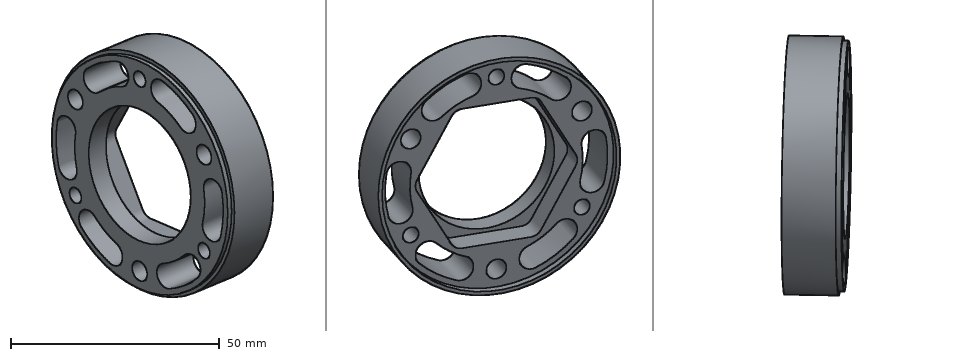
import cadquery as cq
import math

outer_radius = 31.1
thickness = 14.3
spigot_radius = 30.1
spigot_length = 1.3
bore_radius = 17.4
front_y = -thickness / 2

recess_apothem = 18.4
recess_corner_radius = 3.1
bore_land = 5.8

socket_radius = 30.1
socket_depth = 2.0
recess_depth = thickness - bore_land - socket_depth

pitch_radius = 25.4
small_hole_diameter = 4.05
large_hole_diameter = 5.1
small_hole_angles = (90, 210, 330)
large_hole_angles = (30, 150, 270)
slot_width = 6.35
slot_half_span = 11.5
slot_offset = 27.6


def plane_at(y):
    """XZ sketch plane at position y, with extrusion running towards +Y."""
    return cq.Workplane(cq.Plane(origin=(0, y, 0), xDir=(1, 0, 0), normal=(0, -1, 0)))


def disc(radius, y, length):
    return plane_at(y).circle(radius).extrude(-length)


def polar(radius, angle):
    a = math.radians(angle)
    return (radius * math.cos(a), radius * math.sin(a))


def holes(diameter, angles):
    centres = [polar(pitch_radius, angle) for angle in angles]
    return plane_at(front_y).pushPoints(centres).circle(diameter / 2).extrude(-thickness)


def curved_slot(middle_angle):
    inner = pitch_radius - slot_width / 2
    outer = pitch_radius + slot_width / 2
    start = middle_angle - slot_half_span
    end = middle_angle + slot_half_span
    end_cap = math.degrees(slot_width / 2 / pitch_radius)
    return (
        plane_at(front_y)
        .moveTo(*polar(outer, start))
        .threePointArc(polar(outer, middle_angle), polar(outer, end))
        .threePointArc(polar(pitch_radius, end + end_cap), polar(inner, end))
        .threePointArc(polar(inner, middle_angle), polar(inner, start))
        .threePointArc(polar(pitch_radius, start - end_cap), polar(outer, start))
        .close()
        .extrude(-thickness)
    )


def hexagonal_recess():
    across_corners = 2 * recess_apothem / math.cos(math.pi / 6)
    return (
        plane_at(front_y + bore_land)
        .polygon(6, across_corners)
        .extrude(-recess_depth)
        .edges("|Y")
        .fillet(recess_corner_radius)
    )


body = disc(outer_radius, front_y + spigot_length, thickness - spigot_length)
body = body.union(disc(spigot_radius, front_y, spigot_length))
body = body.cut(disc(bore_radius, front_y, thickness))
body = body.cut(hexagonal_recess())
body = body.cut(disc(socket_radius, thickness / 2 - socket_depth, socket_depth))
body = body.cut(holes(small_hole_diameter, small_hole_angles))
body = body.cut(holes(large_hole_diameter, large_hole_angles))
for hole_angle in small_hole_angles:
    for side in (-1, 1):
        body = body.cut(curved_slot(hole_angle + side * slot_offset))

result = body